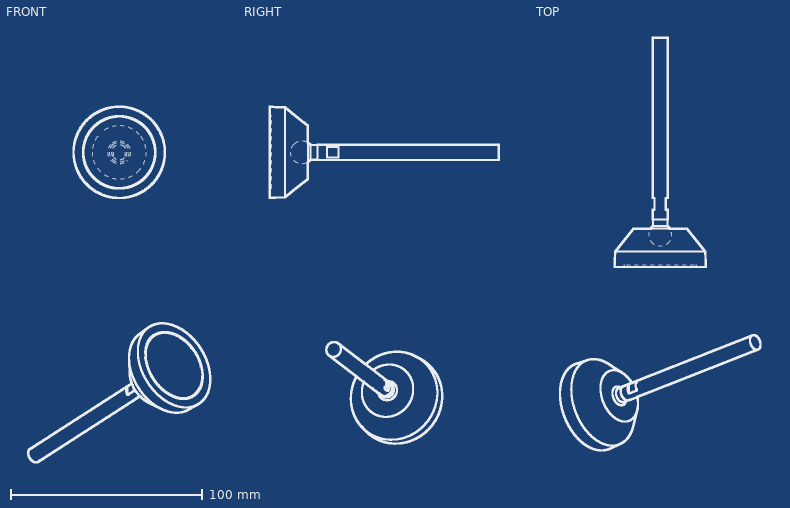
import cadquery as cq
import math

total_length = 120.0
rim_diameter = 48.0
shoulder_diameter = 47.3
shoulder_height = 8.0
top_diameter = 28.1
foot_height = 20.0

groove_inner_diameter = 37.5
groove_outer_diameter = 38.0
groove_depth = 1.0

stem_diameter = 8.0
neck_diameter = 7.8
neck_end = 25.0
neck_start = 21.5
ball_diameter = 12.0

flat_start = 30.0
flat_length = 6.0
across_flats = 6.0

ball_radius = ball_diameter / 2
neck_radius = neck_diameter / 2
ball_center = neck_start - math.sqrt(ball_radius**2 - neck_radius**2)


def disc(diameter, start, length):
    """Cylinder along +Y that begins at y = start."""
    return cq.Workplane("XZ", origin=(0, start, 0)).circle(diameter / 2).extrude(-length)


def make_ball():
    """Ball shared by the stem end and its socket."""
    return cq.Workplane("XY", origin=(0, ball_center, 0)).sphere(ball_radius)


def make_foot():
    """Tapered foot with a ring groove underneath and a ball socket for the stem on top."""
    profile = [
        (0, 0),
        (rim_diameter / 2, 0),
        (shoulder_diameter / 2, shoulder_height),
        (top_diameter / 2, foot_height),
        (0, foot_height),
    ]
    foot = cq.Workplane("XY").polyline(profile).close().revolve(360, (0, 0, 0), (0, 1, 0))
    groove = disc(groove_outer_diameter, 0, groove_depth).cut(
        disc(groove_inner_diameter, 0, groove_depth)
    )
    return foot.cut(groove).cut(make_ball())


def make_stem():
    """Stem with a ball end, a reduced neck and two wrench flats."""
    neck = disc(neck_diameter, ball_center, neck_end - ball_center)
    shank = disc(stem_diameter, neck_end, total_length - neck_end)
    stem = make_ball().union(neck).union(shank)
    flat_depth = (stem_diameter - across_flats) / 2
    for side in (-1, 1):
        cutter = cq.Workplane("XY").box(flat_depth, flat_length, stem_diameter).translate(
            (side * (across_flats + flat_depth) / 2, flat_start + flat_length / 2, 0)
        )
        stem = stem.cut(cutter)
    return stem


foot = make_foot()
stem = make_stem()
result = cq.Compound.makeCompound([foot.val(), stem.val()])